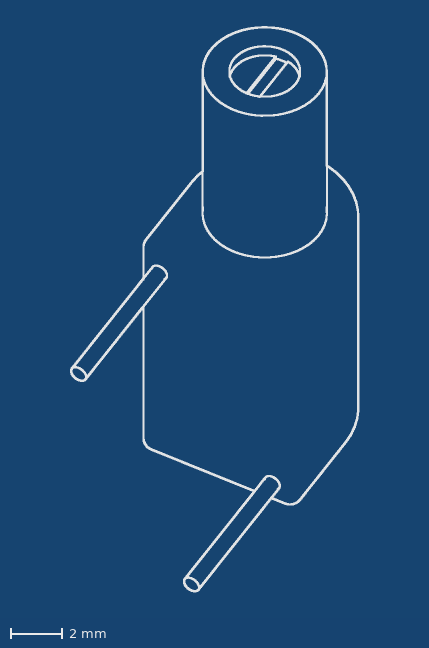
import cadquery as cq

body_width = 7.0
body_radius = body_width / 2
body_depth = 7.6
body_height = 11.56
edge_radius = 0.5
front_y = body_radius - body_depth

total_height = 19.43
sleeve_diameter = 4.84
sleeve_y = -0.31

bore_diameter = 2.75
screw_recess = 0.5
slot_width = 0.55
slot_depth = 0.12

pin_diameter = 0.68
pin_length = 6.37
pin_positions = [(-2.56, 10.34), (2.49, 1.19)]


def make_body():
    outline = (
        cq.Workplane("XY")
        .moveTo(-body_radius, 0)
        .lineTo(-body_radius, front_y)
        .lineTo(body_radius, front_y)
        .lineTo(body_radius, 0)
        .threePointArc((0, body_radius), (-body_radius, 0))
        .close()
    )
    block = outline.extrude(body_height)
    front_corners = block.edges("|Z and <Y")
    return front_corners.fillet(edge_radius).faces("|Z").edges().fillet(edge_radius)


def make_sleeve():
    sleeve = (
        cq.Workplane("XY", origin=(0, sleeve_y, body_height))
        .circle(sleeve_diameter / 2)
        .extrude(total_height - body_height)
    )
    recess = (
        cq.Workplane("XY", origin=(0, sleeve_y, total_height))
        .circle(bore_diameter / 2)
        .extrude(-screw_recess)
    )
    slot = (
        cq.Workplane("XY", origin=(0, sleeve_y, total_height - screw_recess))
        .rect(slot_width, bore_diameter)
        .extrude(-slot_depth)
    )
    bore = (
        cq.Workplane("XY", origin=(0, sleeve_y, total_height))
        .circle(bore_diameter / 2)
        .extrude(-screw_recess - slot_depth)
    )
    return sleeve.cut(recess).cut(slot.intersect(bore))


def make_pins():
    return (
        cq.Workplane("XZ", origin=(0, front_y, 0))
        .pushPoints(pin_positions)
        .circle(pin_diameter / 2)
        .extrude(pin_length)
    )


result = make_body().union(make_sleeve()).union(make_pins())